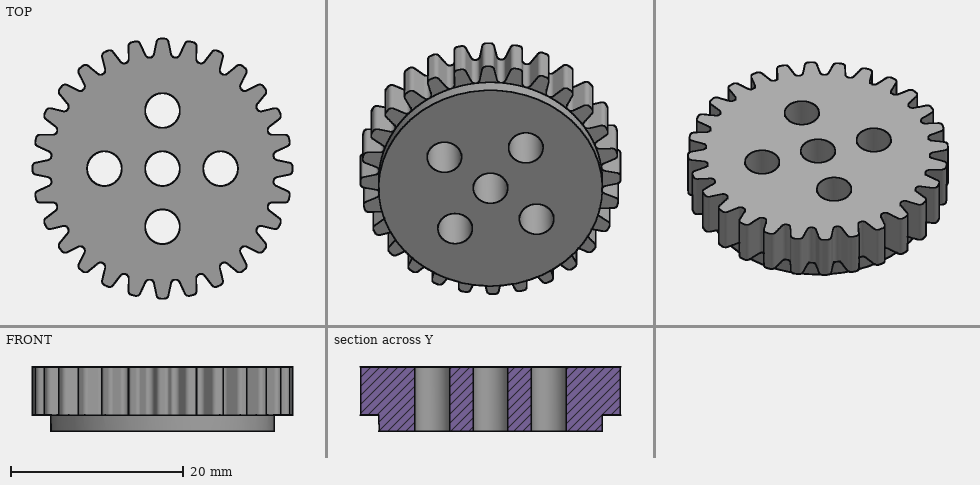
import cadquery as cq
import math

TOTAL_HEIGHT = 7.51
HUB_HEIGHT = 1.9
HUB_DIAMETER = 26.0

TOOTH_COUNT = 28
TIP_RADIUS = 15.12
ROOT_RADIUS = HUB_DIAMETER / 2
FACE_WIDTH = TOTAL_HEIGHT - HUB_HEIGHT
PITCH_ANGLE = 360 / TOOTH_COUNT
GAP_FLOOR_WIDTH = 0.766
GAP_FLANK_ANGLE = 18.3
TOOTH_FILLET = 0.5
GAP_OVERRUN = 1.0

HOLE_DIAMETER = 4.0
HOLE_CIRCLE_RADIUS = 6.75
OUTER_HOLE_COUNT = 4


def disc(radius, bottom, height):
    """Upright cylinder on the gear axis."""
    return cq.Workplane("XY").workplane(offset=bottom).circle(radius).extrude(height)


def gap_cutter():
    """Straight-sided tooth gap centred on +X, with its floor on the root circle."""
    slope = math.tan(math.radians(GAP_FLANK_ANGLE))

    def half_width(x):
        return GAP_FLOOR_WIDTH / 2 + (x - ROOT_RADIUS) * slope

    floor_x = ROOT_RADIUS - GAP_OVERRUN
    mouth_x = TIP_RADIUS + GAP_OVERRUN
    wedge = (
        cq.Workplane("XY")
        .workplane(offset=HUB_HEIGHT)
        .moveTo(floor_x, -half_width(floor_x))
        .lineTo(mouth_x, -half_width(mouth_x))
        .lineTo(mouth_x, half_width(mouth_x))
        .lineTo(floor_x, half_width(floor_x))
        .close()
        .extrude(FACE_WIDTH)
    )
    return wedge.cut(disc(ROOT_RADIUS, HUB_HEIGHT, FACE_WIDTH))


def toothed_ring():
    """Round blank with every tooth gap removed and all tooth corners rounded."""
    ring = disc(TIP_RADIUS, HUB_HEIGHT, FACE_WIDTH)
    cutter = gap_cutter()
    for index in range(TOOTH_COUNT):
        angle = (index + 0.5) * PITCH_ANGLE
        ring = ring.cut(cutter.rotate((0, 0, 0), (0, 0, 1), angle))
    return ring.clean().edges("|Z").fillet(TOOTH_FILLET)


def through_holes():
    """Centre hole and the ring of equal holes around it."""
    centre_hole = disc(HOLE_DIAMETER / 2, 0, TOTAL_HEIGHT)
    outer_holes = (
        cq.Workplane("XY")
        .polarArray(HOLE_CIRCLE_RADIUS, 0, 360, OUTER_HOLE_COUNT)
        .circle(HOLE_DIAMETER / 2)
        .extrude(TOTAL_HEIGHT)
    )
    return centre_hole.union(outer_holes)


hub = disc(HUB_DIAMETER / 2, 0, HUB_HEIGHT)
result = toothed_ring().union(hub).cut(through_holes())